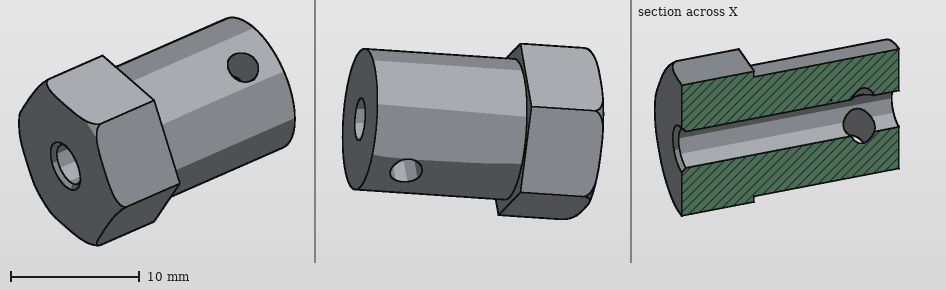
import cadquery as cq
import math

total_length = 18.0
hex_length = total_length / 3
across_flats = 12.0
barrel_diameter = 11.0
bore_diameter = 3.3
bore_mouth_diameter = 4.0
corner_radius = 0.99
pin_hole_diameter = 2.5
pin_hole_end_distance = 3.0
pin_hole_tilt = 30.0

across_corners = across_flats / math.cos(math.radians(30))
bore_chamfer = (bore_mouth_diameter - bore_diameter) / 2


def cylinder_along_y(diameter, length):
    """Cylinder on the Y axis, from the hex face at Y = 0 toward +Y."""
    return cq.Workplane("XZ").circle(diameter / 2).extrude(-length)


def make_hex_head():
    """Hexagon with corners on +X and -X, rounded off by a filleted cylinder."""
    hexagon = cq.Workplane("XZ").polygon(6, across_corners).extrude(-hex_length)
    rounding = cylinder_along_y(across_corners, hex_length).faces("<Y").edges().fillet(corner_radius)
    return hexagon.intersect(rounding)


def make_bore():
    """Through bore with a 45 degree chamfered mouth in the hex face."""
    cone = (
        cq.Workplane("XY")
        .polyline([(0, 0), (bore_mouth_diameter / 2, 0), (bore_diameter / 2, bore_chamfer), (0, bore_chamfer)])
        .close()
        .revolve(360, (0, 0, 0), (0, 1, 0))
    )
    return cylinder_along_y(bore_diameter, total_length).union(cone)


def make_pin_hole():
    """Tilted cross hole passing through both walls of the barrel."""
    return (
        cq.Workplane("XY")
        .circle(pin_hole_diameter / 2)
        .extrude(barrel_diameter, both=True)
        .rotate((0, 0, 0), (0, 1, 0), pin_hole_tilt)
        .translate((0, total_length - pin_hole_end_distance, 0))
    )


barrel = cylinder_along_y(barrel_diameter, total_length)
result = make_hex_head().union(barrel).cut(make_bore()).cut(make_pin_hole())